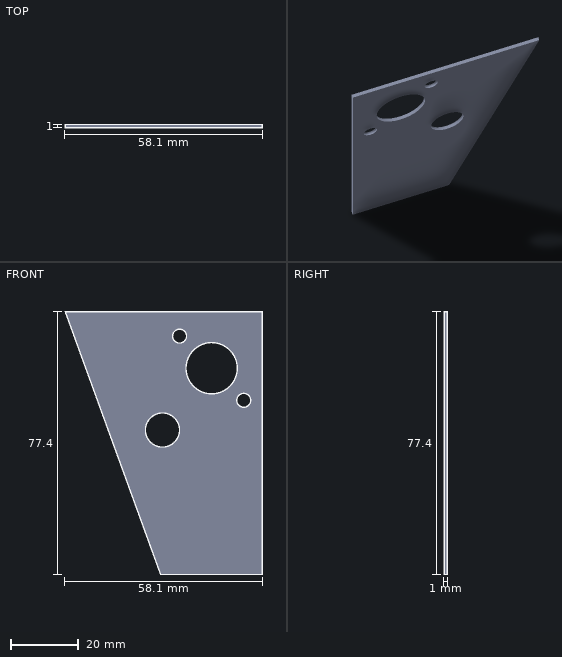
import cadquery as cq

height = 77.4
top_width = 58.1
bottom_width = 30.0
thickness = 1.0

large_diameter = 15.0
large_from_right = 14.95
large_from_top = 16.65
screw_diameter = 4.0
screw_offset = 9.45

medium_diameter = 10.0
medium_from_right = 29.4
medium_from_top = 34.85


def through_hole(x, z, diameter):
    """Cutter along Y that passes through the plate."""
    return (
        cq.Workplane("XZ")
        .center(x, z)
        .circle(diameter / 2)
        .extrude(thickness, both=True)
    )


outline = [(0, 0), (-top_width, 0), (-bottom_width, -height), (0, -height)]
plate = cq.Workplane("XZ").polyline(outline).close().extrude(thickness)

large_x = -large_from_right
large_z = -large_from_top
plate = plate.cut(through_hole(large_x, large_z, large_diameter))

for side in (-1, 1):
    screw_x = large_x + side * screw_offset
    screw_z = large_z - side * screw_offset
    plate = plate.cut(through_hole(screw_x, screw_z, screw_diameter))

result = plate.cut(through_hole(-medium_from_right, -medium_from_top, medium_diameter))